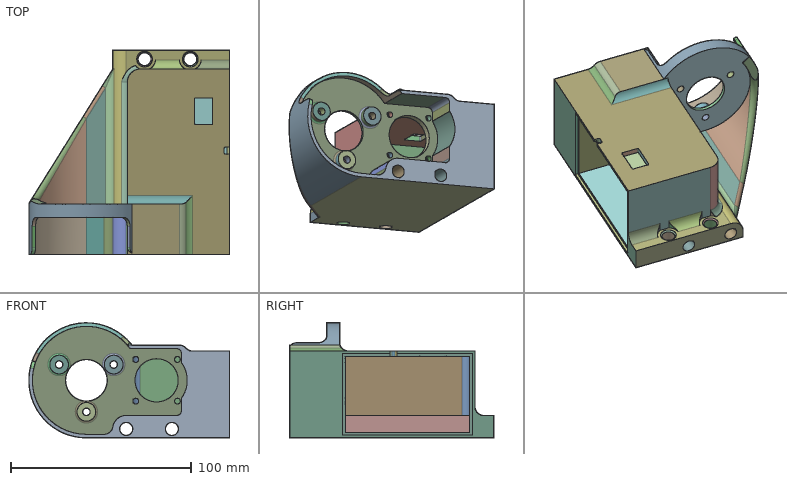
import cadquery as cq
import math

drum_radius = 32.0
drum_wall = 2.0
drum_inner = drum_radius - drum_wall
axis_z = drum_radius
plate_front = 26.0
plate_back = 28.0
rim_front = 20.6
window_start_angle = 40.8
window_end_angle = 160.1
window_back_round = 5.0
window_front_round = 4.0
hub_hole_radius = 11.5

boss_circle_radius = 17.5
boss_angles = (30, 150, 270)
boss_radius = 5.2
boss_height = 4.5
boss_foot_round = 1.0
boss_hole_radius = 2.0

motor_x = 39.0
motor_hole_radius = 12.0
motor_clearance_radius = 17.0
motor_screw_offset = 11.55
motor_screw_radius = 1.6
seat_wall_back = 31.0

overall_length = 113.5
box_left = 22.8
box_right = 79.59
box_back = 103.0
box_top = 48.3
box_corner_radius = 7.1
box_wall = 3.0
foot_round = 5.0

pad_top = 51.6
pad_round = 5.0
pad_foot_x = 59.0
pocket_right = 52.8
pocket_corner_radius = 2.7

bolt_pitch = 25.4
bolt_radius = 3.55
rail_bolt_x = 22.1
rail_bolt_z = 5.0
rail_round = 7.5
rail_left = rail_bolt_x - rail_round
rail_top = rail_bolt_z + rail_round
flange_bolt_x = 32.3
flange_bolt_y = overall_length - 5.0
flange_bolt_chamfer = 0.8
spotface_radius = 6.1

web_thickness = 5.0
web_edge_round = 2.2
web_front_y = 28.3
web_tip_z = 50.0
web_taper_start_z = 30.0
web_taper_length = 3.8

floor_step_x = 57.0
low_floor = 3.0
port_x = 65.1
port_y = 79.6
port_width = 10.0
port_length = 14.9
port_corner_radius = 0.6
notch_y = 57.7
notch_depth = 3.2
notch_width = 3.9
notch_corner_radius = 1.0
lid_rebate = 1.5

overlap = 1.0


def front_sketch(y):
    """Sketch plane at depth y with local axes X and Z; negative extrusions run toward +Y."""
    return cq.Workplane("XZ", origin=(0, y, 0))


def y_cylinder(x, z, radius, y_start, y_end):
    return front_sketch(y_start).center(x, z).circle(radius).extrude(y_start - y_end)


def z_cylinder(x, y, radius, z_start, z_end):
    return cq.Workplane("XY", origin=(x, y, z_start)).circle(radius).extrude(z_end - z_start)


def block(x_start, x_end, y_start, y_end, z_start, z_end):
    base = cq.Workplane("XY", origin=(x_start, y_start, z_start))
    return base.box(x_end - x_start, y_end - y_start, z_end - z_start, centered=False)


def polar(radius, angle, x=0.0, z=0.0):
    """Point in the X-Z plane at an angle in degrees around (x, z)."""
    turn = math.radians(angle)
    return (x + radius * math.cos(turn), z + radius * math.sin(turn))


def rail_foot(floor_z):
    """Fillet from a floor up to the rail's round side: start, middle and end of its arc."""
    center_z = floor_z + foot_round
    rise = center_z - rail_bolt_z
    reach = foot_round + rail_round
    center_x = rail_bolt_x - math.sqrt(reach**2 - rise**2)
    end_angle = -math.degrees(math.asin(rise / reach))
    middle_angle = (end_angle - 90) / 2
    start = (center_x, floor_z)
    middle = polar(foot_round, middle_angle, center_x, center_z)
    end = polar(foot_round, end_angle, center_x, center_z)
    return start, middle, end


def rail_point(angle):
    return polar(rail_round, angle, rail_bolt_x, rail_bolt_z)


def drum():
    """Drum and its plate, with a rounded window through the upper wall."""
    body = y_cylinder(0, axis_z, drum_radius, 0, plate_back)
    body = body.cut(y_cylinder(0, axis_z, drum_inner, 0, plate_front))
    far = 2 * drum_radius
    middle_angle = (window_start_angle + window_end_angle) / 2
    window = (
        front_sketch(0)
        .moveTo(0, axis_z)
        .lineTo(*polar(far, window_start_angle, z=axis_z))
        .lineTo(*polar(far, middle_angle, z=axis_z))
        .lineTo(*polar(far, window_end_angle, z=axis_z))
        .close()
        .extrude(-rim_front)
    )
    body = body.cut(window)
    wall_middle = drum_radius - drum_wall / 2
    for angle in (window_start_angle, window_end_angle):
        x, z = polar(wall_middle, angle, z=axis_z)
        for y, radius in ((0, window_front_round), (rim_front, window_back_round)):
            edge = body.edges(cq.selectors.NearestToPointSelector((x, y, z)))
            body = edge.fillet(radius)
    return body


def pad():
    """Raised pad whose right and back sides run down to the box top in concave rounds."""
    height = pad_top - box_top
    turn = math.degrees(math.acos(1 - height / (2 * pad_round)))
    half_run = pad_round * math.sin(math.radians(turn))
    shoulder_x = pad_foot_x - 2 * half_run
    top_center_z = pad_top - pad_round
    foot_center_z = box_top + pad_round
    across = (
        front_sketch(0)
        .moveTo(0, 0)
        .lineTo(pad_foot_x, 0)
        .lineTo(pad_foot_x, box_top)
        .threePointArc(
            polar(pad_round, 270 - turn / 2, pad_foot_x, foot_center_z),
            (pad_foot_x - half_run, (pad_top + box_top) / 2),
        )
        .threePointArc(polar(pad_round, 90 - turn / 2, shoulder_x, top_center_z), (shoulder_x, pad_top))
        .lineTo(0, pad_top)
        .close()
        .extrude(-box_back)
    )
    back_run = math.sqrt(pad_round**2 - (pad_round - height) ** 2)
    foot_y = plate_back + back_run
    slope_turn = math.degrees(math.asin(back_run / pad_round))
    along = (
        cq.Workplane("YZ")
        .moveTo(0, 0)
        .lineTo(foot_y, 0)
        .lineTo(foot_y, box_top)
        .threePointArc(polar(pad_round, 270 - slope_turn / 2, foot_y, foot_center_z), (plate_back, pad_top))
        .lineTo(0, pad_top)
        .close()
        .extrude(box_right)
    )
    behind_plate = block(0, box_left, plate_back, box_back, 0, 2 * pad_top)
    return across.intersect(along).cut(behind_plate)


def box():
    """Box body, continued at full width in front to back the drum and motor pocket."""
    body = block(box_left, box_right, 0, box_back, 0, box_top)
    body = body.edges("|Z and <X and >Y").fillet(box_corner_radius)
    front = block(0, box_right, 0, plate_back, 0, box_top)
    return body.union(front)


def rail():
    """Full-length rail whose left shoulder is concentric with the first bolt hole."""
    return (
        front_sketch(0)
        .moveTo(box_right, 0)
        .lineTo(rail_left, 0)
        .lineTo(rail_left, rail_bolt_z)
        .threePointArc(rail_point(135), rail_point(90))
        .lineTo(box_right, rail_top)
        .close()
        .extrude(-overall_length)
    )


def box_foot():
    """Fillet between the box and the rail: left side, rounded corner and back."""
    center_x = box_left - foot_round
    reach = foot_round + rail_round
    center_z = rail_bolt_z + math.sqrt(reach**2 - (rail_bolt_x - center_x) ** 2)
    end_angle = math.degrees(math.atan2(rail_bolt_z - center_z, rail_bolt_x - center_x))
    corner_x = box_left + box_corner_radius
    corner_y = box_back - box_corner_radius

    def side_profile(y):
        return (
            front_sketch(y)
            .moveTo(box_left, center_z)
            .threePointArc(
                polar(foot_round, end_angle / 2, center_x, center_z),
                polar(foot_round, end_angle, center_x, center_z),
            )
            .lineTo(rail_bolt_x, rail_bolt_z)
            .lineTo(corner_x, rail_bolt_z)
            .lineTo(corner_x, center_z)
            .close()
        )

    side = side_profile(plate_back - overlap).extrude(plate_back - overlap - corner_y)
    corner = side_profile(corner_y).revolve(90, (corner_x, 0, 0), (corner_x, -1, 0))
    back_center_y = box_back + foot_round
    back_center_z = rail_top + foot_round
    back = (
        cq.Workplane("YZ", origin=(corner_x, 0, 0))
        .moveTo(box_back, back_center_z)
        .threePointArc(
            polar(foot_round, 225, back_center_y, back_center_z),
            (back_center_y, rail_top),
        )
        .lineTo(back_center_y, rail_bolt_z)
        .lineTo(box_back - overlap, rail_bolt_z)
        .lineTo(box_back - overlap, back_center_z)
        .close()
        .extrude(box_right - corner_x)
    )
    foot = side.union(corner).union(back)
    for x in (flange_bolt_x, flange_bolt_x + bolt_pitch):
        foot = foot.cut(z_cylinder(x, flange_bolt_y, spotface_radius, 0, box_top))
    return foot


def web():
    """Sheet that continues the drum's wall behind the plate and meets the rail in a fillet."""
    inner = drum_radius - web_thickness
    tip_angle = 180 - math.degrees(math.asin((web_tip_z - axis_z) / drum_radius))
    middle_angle = (tip_angle + 270) / 2
    foot_start, foot_middle, foot_end = rail_foot(web_thickness)
    front_y = plate_back - overlap
    body = (
        front_sketch(front_y)
        .moveTo(0, 0)
        .lineTo(rail_bolt_x, 0)
        .lineTo(rail_bolt_x, rail_bolt_z)
        .lineTo(*foot_end)
        .threePointArc(foot_middle, foot_start)
        .lineTo(0, web_thickness)
        .threePointArc(polar(inner, middle_angle, z=axis_z), polar(inner, tip_angle, z=axis_z))
        .lineTo(*polar(drum_radius, tip_angle, z=axis_z))
        .threePointArc(polar(drum_radius, middle_angle, z=axis_z), (0, 0))
        .close()
        .extrude(front_y - box_back)
    )
    taper = (
        cq.Workplane("YZ", origin=(-2 * drum_radius, 0, 0))
        .moveTo(plate_back, web_tip_z)
        .lineTo(plate_back + web_taper_length, web_taper_start_z)
        .lineTo(overall_length, web_taper_start_z)
        .lineTo(overall_length, web_tip_z)
        .close()
        .extrude(2 * drum_radius)
    )
    slant = (box_back - web_front_y) / (rail_left + drum_radius)
    far_left = -drum_radius - overlap
    outside = (
        cq.Workplane("XY")
        .moveTo(far_left, web_front_y - slant * overlap)
        .lineTo(rail_bolt_x, web_front_y + slant * (rail_bolt_x + drum_radius))
        .lineTo(far_left, overall_length * 2)
        .close()
        .extrude(web_tip_z)
    )
    body = body.cut(outside)
    slant_face = body.faces(cq.selectors.ParallelDirSelector(cq.Vector(-slant, 1, 0)))
    body = slant_face.edges("not |Z").fillet(web_edge_round)
    return body.cut(taper)


def pocket():
    """Space inside the drum, running on to the right over the rail to the motor seat."""
    foot_start, foot_middle, foot_end = rail_foot(drum_wall)
    ceiling = pad_top - drum_wall
    drum_end_x = math.sqrt(drum_inner**2 - (ceiling - axis_z) ** 2)
    foot_angle = math.degrees(math.atan2(foot_end[1] - rail_bolt_z, foot_end[0] - rail_bolt_x))
    space = (
        front_sketch(0)
        .moveTo(0, drum_wall)
        .lineTo(*foot_start)
        .threePointArc(foot_middle, foot_end)
        .threePointArc(rail_point((foot_angle + 90) / 2), rail_point(90))
        .lineTo(pocket_right, rail_top)
        .lineTo(pocket_right, ceiling)
        .lineTo(drum_end_x, ceiling)
        .threePointArc((-drum_inner, axis_z), (0, drum_wall))
        .close()
        .extrude(-plate_front)
    )
    space = space.edges("|Y and >X").fillet(pocket_corner_radius)
    return space.union(y_cylinder(motor_x, axis_z, motor_clearance_radius, 0, plate_front))


def bosses():
    """Screw bosses with a rounded foot, each turned around its own axis."""
    foot_radius = boss_radius + boss_foot_round
    foot_y = plate_front - boss_foot_round
    boss = (
        cq.Workplane("XY")
        .moveTo(0, plate_back)
        .lineTo(foot_radius, plate_back)
        .lineTo(foot_radius, plate_front)
        .threePointArc(
            polar(boss_foot_round, 135, foot_radius, foot_y),
            (boss_radius, foot_y),
        )
        .lineTo(boss_radius, plate_front - boss_height)
        .lineTo(0, plate_front - boss_height)
        .close()
        .revolve(360, (0, 0, 0), (0, 1, 0))
    )
    group = cq.Workplane("XY")
    for angle in boss_angles:
        x, z = polar(boss_circle_radius, angle, z=axis_z)
        group = group.union(boss.translate((x, 0, z)))
    return group


def plate_holes():
    """Hub hole, boss screw holes, motor hole and its four screw holes."""
    holes = y_cylinder(0, axis_z, hub_hole_radius, 0, seat_wall_back)
    for angle in boss_angles:
        x, z = polar(boss_circle_radius, angle, z=axis_z)
        holes = holes.union(y_cylinder(x, z, boss_hole_radius, 0, seat_wall_back))
    holes = holes.union(y_cylinder(motor_x, axis_z, motor_hole_radius, 0, seat_wall_back))
    for x_side in (-1, 1):
        for z_side in (-1, 1):
            x = motor_x + x_side * motor_screw_offset
            z = axis_z + z_side * motor_screw_offset
            holes = holes.union(y_cylinder(x, z, motor_screw_radius, 0, seat_wall_back))
    return holes


def cavity():
    """Space inside the box, open on the right, with a lowered floor and a rebate for a lid."""
    left = box_left + box_wall
    back = box_back - box_wall
    ceiling = box_top - box_wall
    space = block(left, box_right, seat_wall_back, back, rail_top, ceiling)
    space = space.edges("|Z and <X and >Y").fillet(box_corner_radius - box_wall)
    space = space.union(block(floor_step_x, box_right, seat_wall_back, back, low_floor, ceiling))
    rebate = block(
        box_right - lid_rebate,
        box_right,
        seat_wall_back - lid_rebate,
        back + lid_rebate,
        low_floor - lid_rebate,
        ceiling + lid_rebate,
    )
    return space.union(rebate)


def roof_openings():
    """Rectangular port and a small notch at the open side."""
    roof = cq.Workplane("XY", origin=(0, 0, box_top - box_wall))
    port = roof.center(port_x, port_y).rect(port_width, port_length).extrude(box_wall)
    port = port.edges("|Z").fillet(port_corner_radius)
    notch = block(
        box_right - notch_depth,
        box_right,
        notch_y - notch_width / 2,
        notch_y + notch_width / 2,
        box_top - box_wall,
        box_top,
    )
    return port.union(notch.edges("|Z and <X").fillet(notch_corner_radius))


def bolt_holes():
    """Two lengthwise holes in the rail and two chamfered vertical holes in the back flange."""
    holes = cq.Workplane("XY")
    for step in (0, bolt_pitch):
        rail_x = rail_bolt_x + step
        holes = holes.union(y_cylinder(rail_x, rail_bolt_z, bolt_radius, 0, overall_length))
        flange_x = flange_bolt_x + step
        holes = holes.union(z_cylinder(flange_x, flange_bolt_y, bolt_radius, 0, rail_top))
        mouth = (
            cq.Workplane("XY", origin=(flange_x, flange_bolt_y, rail_top))
            .circle(bolt_radius + flange_bolt_chamfer)
            .extrude(-bolt_radius - flange_bolt_chamfer, taper=45)
        )
        holes = holes.union(mouth)
    return holes


result = drum().union(box()).union(pad()).union(rail()).union(box_foot()).union(web())
result = result.cut(pocket()).union(bosses()).cut(plate_holes()).cut(cavity())
result = result.cut(roof_openings()).cut(bolt_holes())